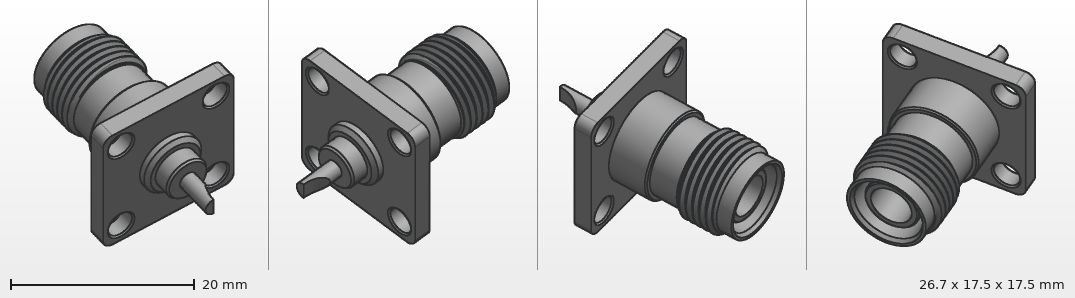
import cadquery as cq
import math


THREAD_START = 2.0
THREAD_END = 7.4
SHOULDER_START = 11.0
FLANGE_FRONT = 16.05
FLANGE_BACK = 18.3
COLLAR_END = 19.6
INSULATOR_END = 21.9
TAIL_END = 26.69

BARREL_RADIUS = 4.85
SHOULDER_RADIUS = 5.5
SHOULDER_CHAMFER = 0.2
COLLAR_RADIUS = 3.85
COLLAR_CHAMFER = 0.52
INSULATOR_RADIUS = 2.7
INSULATOR_CHAMFER_LENGTH = 0.3
INSULATOR_CHAMFER_DEPTH = 0.2

THREAD_RADIUS = 5.5
THREAD_PITCH = 25.4 / 28
THREAD_ROOT_RADIUS = 4.95
THREAD_ROOT_WIDTH = 0.15
THREAD_FLANK_ANGLE = 30.0
GROOVE_START = 1.57
GROOVE_TURNS = 7
CUTTER_OVERHANG = 0.03

FLANGE_SIDE = 17.5
FLANGE_CORNER_RADIUS = 1.25
HOLE_SPACING = 12.7
HOLE_DIAMETER = 3.2
HOLE_CHAMFER = 0.2

MOUTH_RADIUS = 4.48
SOCKET_RADIUS = 4.18
MOUTH_TAPER_LENGTH = 0.5
SOCKET_FLOOR_RADIUS = 4.05
SOCKET_DEPTH = 8.5
SLEEVE_START = 1.15
SLEEVE_RADIUS = 3.3
SLEEVE_BORE_RADIUS = 2.5
SLEEVE_CHAMFER = 0.17

CONTACT_TIP = 4.0
CONTACT_TIP_RADIUS = 0.2
CONTACT_PIN_RADIUS = 0.55
CONTACT_TIP_LENGTH = 0.6
CONTACT_SHOULDER_START = 7.0
CONTACT_SHOULDER_RADIUS = 0.8
CONTACT_BASE_RADIUS = 1.03
CONTACT_SHOULDER_CHAMFER = CONTACT_BASE_RADIUS - CONTACT_SHOULDER_RADIUS

TAIL_RADIUS = 1.08
SCOOP_START = 23.68


def turned(profile):
    """Revolve a list of (x, radius) points, which closes on itself, about the X axis."""
    return cq.Workplane("XY").polyline(profile).close().revolve(360, (0, 0, 0), (1, 0, 0))


def make_body():
    """Plain turned outside of the part, without thread or flange."""
    return turned([
        (0, 0),
        (0, BARREL_RADIUS),
        (SHOULDER_START, BARREL_RADIUS),
        (SHOULDER_START, SHOULDER_RADIUS - SHOULDER_CHAMFER),
        (SHOULDER_START + SHOULDER_CHAMFER, SHOULDER_RADIUS),
        (FLANGE_BACK, SHOULDER_RADIUS),
        (FLANGE_BACK, COLLAR_RADIUS),
        (COLLAR_END - COLLAR_CHAMFER, COLLAR_RADIUS),
        (COLLAR_END, COLLAR_RADIUS - COLLAR_CHAMFER),
        (COLLAR_END, INSULATOR_RADIUS),
        (INSULATOR_END - INSULATOR_CHAMFER_LENGTH, INSULATOR_RADIUS),
        (INSULATOR_END, INSULATOR_RADIUS - INSULATOR_CHAMFER_DEPTH),
        (INSULATOR_END, 0),
    ])


def make_thread_groove():
    """Helical trapezoid cutter that runs out past both ends of the thread."""
    outer_radius = THREAD_RADIUS + CUTTER_OVERHANG
    half_root = THREAD_ROOT_WIDTH / 2
    flank_run = (outer_radius - THREAD_ROOT_RADIUS) * math.tan(math.radians(THREAD_FLANK_ANGLE))
    half_mouth = half_root + flank_run
    helix = cq.Wire.makeHelix(THREAD_PITCH, GROOVE_TURNS * THREAD_PITCH, THREAD_ROOT_RADIUS)
    cutter = (
        cq.Workplane("XZ")
        .polyline([
            (THREAD_ROOT_RADIUS, -half_root),
            (outer_radius, -half_mouth),
            (outer_radius, half_mouth),
            (THREAD_ROOT_RADIUS, half_root),
        ])
        .close()
        .sweep(cq.Workplane(obj=helix), isFrenet=True)
    )
    thread_axis = cq.Plane(origin=(GROOVE_START, 0, 0), xDir=(0, 1, 0), normal=(1, 0, 0))
    return cq.Workplane(obj=cutter.val().moved(cq.Location(thread_axis)))


def make_thread():
    """Rod one pitch longer than the groove at each end, grooved and trimmed to 45-degree thread ends."""
    rod = (
        cq.Workplane("YZ", origin=(GROOVE_START - THREAD_PITCH, 0, 0))
        .circle(THREAD_RADIUS)
        .extrude((GROOVE_TURNS + 2) * THREAD_PITCH)
    )
    thread_height = THREAD_RADIUS - BARREL_RADIUS
    envelope = turned([
        (THREAD_START, 0),
        (THREAD_START, BARREL_RADIUS),
        (THREAD_START + thread_height, THREAD_RADIUS),
        (THREAD_END - thread_height, THREAD_RADIUS),
        (THREAD_END, BARREL_RADIUS),
        (THREAD_END, 0),
    ])
    return rod.cut(make_thread_groove()).intersect(envelope)


def make_flange():
    flange = (
        cq.Workplane("YZ", origin=(FLANGE_FRONT, 0, 0))
        .rect(FLANGE_SIDE, FLANGE_SIDE)
        .extrude(FLANGE_BACK - FLANGE_FRONT)
        .edges("|X")
        .fillet(FLANGE_CORNER_RADIUS)
    )
    hole_rows = (-HOLE_SPACING / 2, HOLE_SPACING / 2)
    for y in hole_rows:
        for z in hole_rows:
            flange = flange.cut(make_hole_cutter().translate((0, y, z)))
    return flange


def make_hole_cutter():
    """Mounting hole with a 45-degree chamfer at both faces of the flange."""
    hole_radius = HOLE_DIAMETER / 2
    chamfer_radius = hole_radius + HOLE_CHAMFER
    return turned([
        (FLANGE_FRONT, 0),
        (FLANGE_FRONT, chamfer_radius),
        (FLANGE_FRONT + HOLE_CHAMFER, hole_radius),
        (FLANGE_BACK - HOLE_CHAMFER, hole_radius),
        (FLANGE_BACK, chamfer_radius),
        (FLANGE_BACK, 0),
    ])


def make_socket():
    """Space removed from the mating end, before the sleeve and contact are put back."""
    return turned([
        (0, 0),
        (0, MOUTH_RADIUS),
        (MOUTH_TAPER_LENGTH, SOCKET_RADIUS),
        (SOCKET_DEPTH, SOCKET_FLOOR_RADIUS),
        (SOCKET_DEPTH, 0),
    ])


def make_sleeve():
    return turned([
        (SLEEVE_START, SLEEVE_BORE_RADIUS),
        (SLEEVE_START, SLEEVE_RADIUS - SLEEVE_CHAMFER),
        (SLEEVE_START + SLEEVE_CHAMFER, SLEEVE_RADIUS),
        (SOCKET_DEPTH, SLEEVE_RADIUS),
        (SOCKET_DEPTH, SLEEVE_BORE_RADIUS),
    ])


def make_contact():
    return turned([
        (CONTACT_TIP, 0),
        (CONTACT_TIP, CONTACT_TIP_RADIUS),
        (CONTACT_TIP + CONTACT_TIP_LENGTH, CONTACT_PIN_RADIUS),
        (CONTACT_SHOULDER_START, CONTACT_PIN_RADIUS),
        (CONTACT_SHOULDER_START, CONTACT_SHOULDER_RADIUS),
        (CONTACT_SHOULDER_START + CONTACT_SHOULDER_CHAMFER, CONTACT_BASE_RADIUS),
        (SOCKET_DEPTH, CONTACT_BASE_RADIUS),
        (SOCKET_DEPTH, 0),
    ])


def make_tail():
    """Round tail whose +Y half is scooped away by an arc that meets the axis tangentially at the tip."""
    tail = (
        cq.Workplane("YZ", origin=(INSULATOR_END, 0, 0))
        .circle(TAIL_RADIUS)
        .extrude(TAIL_END - INSULATOR_END)
    )
    scoop_length = TAIL_END - SCOOP_START
    scoop_radius = (scoop_length**2 + TAIL_RADIUS**2) / (2 * TAIL_RADIUS)
    scoop = (
        cq.Workplane("XY")
        .center(TAIL_END, scoop_radius)
        .circle(scoop_radius)
        .extrude(TAIL_RADIUS, both=True)
    )
    return tail.cut(scoop)


result = (
    make_body()
    .union(make_thread())
    .union(make_flange())
    .cut(make_socket())
    .union(make_sleeve())
    .union(make_contact())
    .union(make_tail())
)